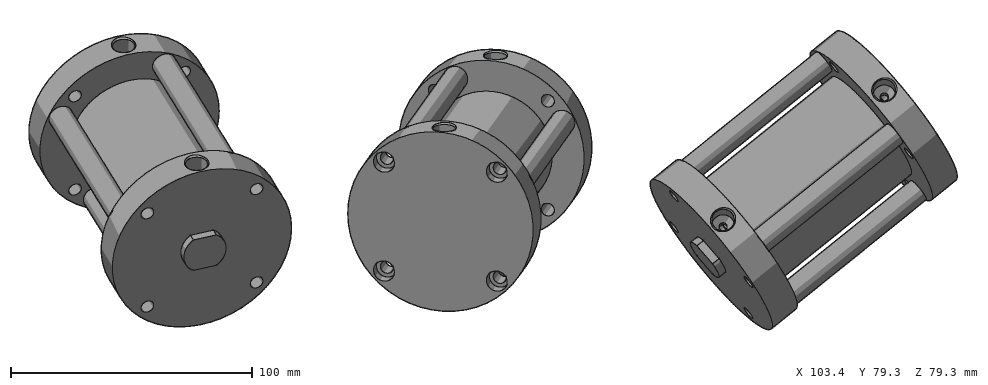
import cadquery as cq
import math

total_length = 103.4
rod_protrusion = 3.5
cap_diameter = 79.3
cap_thickness = 13.4

barrel_diameter = 52.1
barrel_insertion = 6.2

tie_rod_diameter = 10.3
tie_rod_count = 4
tie_rod_angle = 26.6

screw_hole_diameter = 5.6
screw_head_diameter = 8.9
screw_head_depth = 5.0
screw_hole_count = 4
screw_hole_angle = 45.0
pitch_radius = 34.1

port_inset = 6.4
port_diameter = 9.3
port_rim_diameter = 10.8
port_depth = 9.3
passage_diameter = 3.4
passage_depth = 14.5
drill_point_angle = 118.0

piston_rod_diameter = 18.7
piston_rod_flats = 15.7

caps_length = total_length - rod_protrusion
front_cap_start = caps_length - cap_thickness
cap_radius = cap_diameter / 2
barrel_start = cap_thickness - barrel_insertion
barrel_end = front_cap_start + barrel_insertion


def x_cylinder(diameter, x_start, x_end, y=0.0, z=0.0):
    """Solid round bar parallel to X."""
    section = cq.Workplane("YZ", origin=(x_start, y, z)).circle(diameter / 2)
    return section.extrude(x_end - x_start)


def pitch_positions(count, first_angle):
    """(y, z) points evenly spaced on the pitch circle."""
    angles = [math.radians(first_angle + i * 360 / count) for i in range(count)]
    return [(pitch_radius * math.sin(a), pitch_radius * math.cos(a)) for a in angles]


def make_barrel():
    return x_cylinder(barrel_diameter, barrel_start, barrel_end)


def make_tie_rod(y, z):
    """Tie rod clamped between the inner faces of the two caps."""
    return x_cylinder(tie_rod_diameter, cap_thickness, front_cap_start, y, z)


def make_piston_rod():
    """Rod from the barrel end out through the front cap, with two flats along it."""
    length = total_length - barrel_end
    rod = x_cylinder(piston_rod_diameter, barrel_end, total_length)
    flats = cq.Workplane("YZ", origin=(barrel_end, 0, 0)).rect(piston_rod_diameter, piston_rod_flats)
    return rod.intersect(flats.extrude(length))


def port_cutter(x):
    """Stepped radial port entering from +Z: chamfered mouth, drilled port, narrow passage."""
    port_radius = port_diameter / 2
    rim_radius = port_rim_diameter / 2
    passage_radius = passage_diameter / 2
    cone_slope = 1 / math.tan(math.radians(drill_point_angle / 2))
    port_bottom = cap_radius - port_depth
    cone_bottom = port_bottom - (port_radius - passage_radius) * cone_slope
    passage_bottom = cap_radius - passage_depth
    profile = [
        (0, cap_radius),
        (rim_radius, cap_radius),
        (port_radius, cap_radius - (rim_radius - port_radius)),
        (port_radius, port_bottom),
        (passage_radius, cone_bottom),
        (passage_radius, passage_bottom),
        (0, passage_bottom - passage_radius * cone_slope),
    ]
    half_section = cq.Workplane("XZ", origin=(x, 0, 0)).polyline(profile).close()
    return half_section.revolve(360, (0, 0, 0), (0, 1, 0))


def make_cap(x_start, port_x):
    """Round cap with a barrel recess, screw holes and a port on top."""
    x_end = x_start + cap_thickness
    cap = x_cylinder(cap_diameter, x_start, x_end)
    for y, z in pitch_positions(screw_hole_count, screw_hole_angle):
        cap = cap.cut(x_cylinder(screw_hole_diameter, x_start, x_end, y, z))
    return cap.cut(barrel).cut(port_cutter(port_x))


def make_rear_cap():
    """Cap at X = 0, counterbored on its outer face for the screw heads."""
    cap = make_cap(0, port_inset)
    for y, z in pitch_positions(screw_hole_count, screw_hole_angle):
        cap = cap.cut(x_cylinder(screw_head_diameter, 0, screw_head_depth, y, z))
    return cap


def make_front_cap():
    """Cap that the piston rod passes through."""
    return make_cap(front_cap_start, caps_length - port_inset).cut(piston_rod)


barrel = make_barrel()
piston_rod = make_piston_rod()
rear_cap = make_rear_cap()
front_cap = make_front_cap()
tie_rods = [make_tie_rod(y, z) for y, z in pitch_positions(tie_rod_count, tie_rod_angle)]

result = cq.Compound.makeCompound([
    rear_cap.val(),
    front_cap.val(),
    barrel.val(),
    piston_rod.val(),
    *[tie_rod.val() for tie_rod in tie_rods],
])